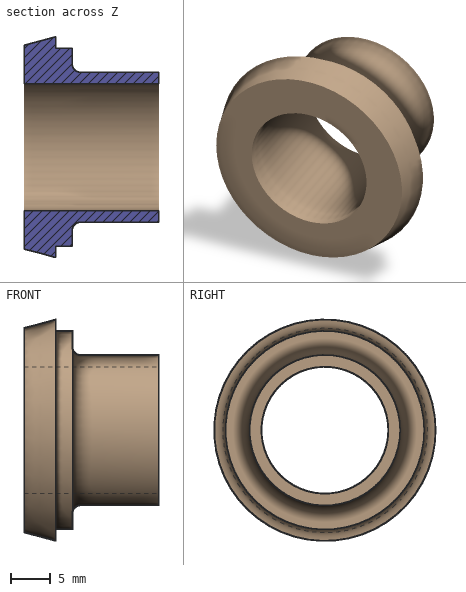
import cadquery as cq
import math

total_length = 17.0
rim_diameter = 28.0
bore_diameter = 16.0

head_length = 4.0
head_taper_angle = 15.0

shoulder_diameter = 25.1
shoulder_length = 2.1

tube_diameter = 19.0
fillet_radius = 1.0

rim_radius = rim_diameter / 2
bore_radius = bore_diameter / 2
shoulder_radius = shoulder_diameter / 2
tube_radius = tube_diameter / 2
face_radius = rim_radius - head_length * math.tan(math.radians(head_taper_angle))
shoulder_end = head_length + shoulder_length

fillet_end = shoulder_end + fillet_radius
fillet_top = tube_radius + fillet_radius
fillet_mid_offset = fillet_radius * math.sqrt(0.5)
fillet_middle = (fillet_end - fillet_mid_offset, fillet_top - fillet_mid_offset)

half_section = (
    cq.Workplane("XY")
    .moveTo(0, bore_radius)
    .lineTo(0, face_radius)
    .lineTo(head_length, rim_radius)
    .lineTo(head_length, shoulder_radius)
    .lineTo(shoulder_end, shoulder_radius)
    .lineTo(shoulder_end, fillet_top)
    .threePointArc(fillet_middle, (fillet_end, tube_radius))
    .lineTo(total_length, tube_radius)
    .lineTo(total_length, bore_radius)
    .close()
)

result = half_section.revolve(360, (0, 0, 0), (1, 0, 0))